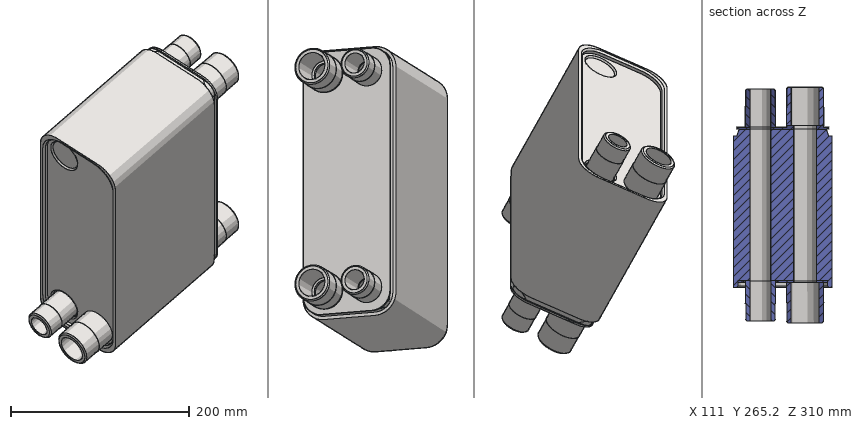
import cadquery as cq
import math


WIDTH = 111.0
HEIGHT = 310.0
BLOCK_LENGTH = 170.5
BLOCK_RADIUS = 25.0

RIM_WIDTH = 3.5
RIM_CHAMFER = 2.2
RECESS_RADIUS = 26.0
RECESS_FLOOR_DEPTH = 5.5

PLATE_THICKNESS = 2.2

COLLAR_INSET = 3.7
COLLAR_HEIGHT = 7.8
COLLAR_TAPER = 2.5
CORNER_PAD_RADIUS = 14.0
CORNER_PAD_GAP = 1.2

PORT_X = 25.0
PORT_Z = 125.0
PORT_CHAMFER = 1.5
OPENING_OUTER_RADIUS = 19.8
OPENING_INNER_RADIUS = 18.3
BOSS_RADIUS = 20.8
BOSS_HEIGHT = 2.0
BLIND_CHANNEL_WALL = 6.2

SMALL_PORT = dict(root=17.0, tip=16.7, bore=11.5, channel=11.5, tip_length=19.8, front=37.5, back=52.7)
LARGE_PORT = dict(root=21.0, tip=20.8, bore=15.5, channel=12.7, tip_length=23.0, front=39.7, back=55.0)

PLATE_BED_DEPTH = RECESS_FLOOR_DEPTH + PLATE_THICKNESS
COLLAR_END = BLOCK_LENGTH + COLLAR_HEIGHT
BACK_FACE = COLLAR_END + PLATE_THICKNESS
BOSS_FACE = BACK_FACE + BOSS_HEIGHT
PLATE_INSET = RIM_WIDTH + RIM_CHAMFER

FRONT = -1
BACK = 1
SMALL_X = -PORT_X
LARGE_X = PORT_X


def rounded_slab(inset, radius, y_start, depth, taper=0.0):
    """Slab across the stack with the block's outline moved in by `inset`, growing towards +Y."""
    plane = cq.Plane(origin=(0, y_start, 0), xDir=(-1, 0, 0), normal=(0, 1, 0))
    outline = cq.Sketch().rect(WIDTH - 2 * inset, HEIGHT - 2 * inset).vertices().fillet(radius)
    return cq.Workplane(plane).placeSketch(outline).extrude(depth, taper=taper)


def cylinder(radius, x, z, y_start, y_end):
    """Cylinder along Y."""
    direction = cq.Vector(0, math.copysign(1, y_end - y_start), 0)
    return cq.Workplane(
        cq.Solid.makeCylinder(radius, abs(y_end - y_start), cq.Vector(x, y_start, z), direction)
    )


def plate_opening(x, z):
    """Conical opening that narrows from the visible face of the front plate to its bed."""
    return cq.Workplane(
        cq.Solid.makeCone(
            OPENING_OUTER_RADIUS,
            OPENING_INNER_RADIUS,
            PLATE_THICKNESS,
            cq.Vector(x, RECESS_FLOOR_DEPTH, z),
            cq.Vector(0, 1, 0),
        )
    )


def cut_channels(body):
    """Cut the port channels: the lower pair runs right through, the upper pair is closed in front."""
    blind_end = PLATE_BED_DEPTH + BLIND_CHANNEL_WALL
    for x, port in ((SMALL_X, SMALL_PORT), (LARGE_X, LARGE_PORT)):
        body = body.cut(cylinder(port["channel"], x, -PORT_Z, 0, BOSS_FACE))
        body = body.cut(cylinder(port["channel"], x, PORT_Z, blind_end, BOSS_FACE))
    return body


def make_housing():
    block = rounded_slab(0, BLOCK_RADIUS, 0, BLOCK_LENGTH)

    chamfer = rounded_slab(RIM_WIDTH, RECESS_RADIUS + RIM_CHAMFER, 0, RIM_CHAMFER, taper=45)
    pocket = rounded_slab(PLATE_INSET, RECESS_RADIUS, 0, PLATE_BED_DEPTH)
    block = block.cut(chamfer).cut(pocket)

    taper_angle = math.degrees(math.atan(COLLAR_TAPER / COLLAR_HEIGHT))
    collar_radius = BLOCK_RADIUS - COLLAR_INSET
    collar = rounded_slab(COLLAR_INSET, collar_radius, BLOCK_LENGTH, COLLAR_HEIGHT, taper=taper_angle)
    corner_pads = rounded_slab(
        COLLAR_INSET + COLLAR_TAPER,
        CORNER_PAD_RADIUS,
        BLOCK_LENGTH + CORNER_PAD_GAP,
        COLLAR_HEIGHT - CORNER_PAD_GAP,
    )
    return cut_channels(block.union(collar).union(corner_pads))


def make_front_plate():
    """Plate in the front recess, with tapered openings in line with the small ports."""
    plate = rounded_slab(PLATE_INSET, RECESS_RADIUS, RECESS_FLOOR_DEPTH, PLATE_THICKNESS)
    for z in (-PORT_Z, PORT_Z):
        plate = plate.cut(plate_opening(SMALL_X, z))
    return cut_channels(plate)


def make_back_plate():
    """Plate on the collar, with raised bosses under the large ports."""
    plate = rounded_slab(COLLAR_INSET, BLOCK_RADIUS - COLLAR_INSET, COLLAR_END, PLATE_THICKNESS)
    for z in (-PORT_Z, PORT_Z):
        plate = plate.union(cylinder(BOSS_RADIUS, LARGE_X, z, BACK_FACE, BOSS_FACE))
    return cut_channels(plate)


def make_port(port, side, x, z, seat):
    """Stepped pipe that stands on the plane Y = `seat` and points towards `side` of the stack."""
    end = BLOCK_LENGTH + port["back"] if side == BACK else -port["front"]
    step = end - side * port["tip_length"]
    outer_edge = ">Y" if side == BACK else "<Y"
    tip = cylinder(port["tip"], x, z, step, end).faces(outer_edge).edges().chamfer(PORT_CHAMFER)
    root = cylinder(port["root"], x, z, seat, step)
    return root.union(tip).cut(cylinder(port["bore"], x, z, seat, end))


housing = make_housing()
front_plate = make_front_plate()
back_plate = make_back_plate()

PORT_PLACES = [
    (SMALL_PORT, FRONT, SMALL_X, -PORT_Z, PLATE_BED_DEPTH),
    (LARGE_PORT, FRONT, LARGE_X, -PORT_Z, RECESS_FLOOR_DEPTH),
    (SMALL_PORT, BACK, SMALL_X, -PORT_Z, BACK_FACE),
    (LARGE_PORT, BACK, LARGE_X, -PORT_Z, BOSS_FACE),
    (SMALL_PORT, BACK, SMALL_X, PORT_Z, BACK_FACE),
    (LARGE_PORT, BACK, LARGE_X, PORT_Z, BOSS_FACE),
]
ports = [make_port(*place) for place in PORT_PLACES]

result = cq.Compound.makeCompound(
    [
        housing.solids().val(),
        front_plate.solids().val(),
        back_plate.solids().val(),
        *[port.solids().val() for port in ports],
    ]
)